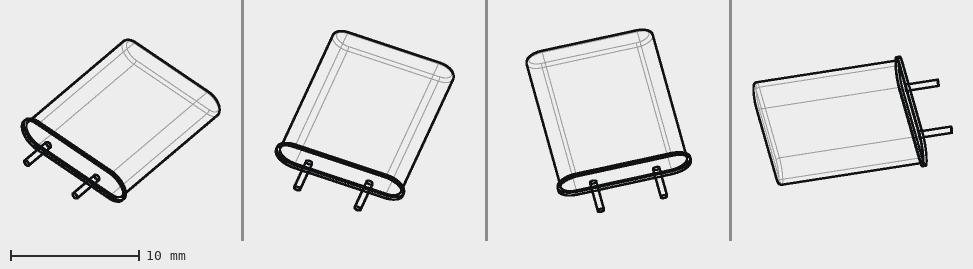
import cadquery as cq

total_length = 14.22
flange_width = 10.66
flange_height = 3.05
flange_thickness = 0.25
flange_overhang = 0.25
pin_length = 2.56
pin_diameter = 0.51
pin_spacing = 5.06
end_fillet = 0.25

can_width = flange_width - 2 * flange_overhang
can_height = flange_height - 2 * flange_overhang
can_length = total_length - pin_length - flange_thickness


def along_y(start):
    """Workplane at the given Y, with X across and Z up; positive extrusion runs toward -Y."""
    return cq.Workplane("XZ", origin=(0, start, 0))


def make_flange():
    """Thin base plate with fully rounded ends, its pin side at Y = 0."""
    return along_y(0).slot2D(flange_width, flange_height).extrude(-flange_thickness)


def make_can():
    """Case with fully rounded sides and a rounded rim at its far end."""
    can = along_y(flange_thickness).slot2D(can_width, can_height).extrude(-can_length)
    return can.faces(">Y").edges().fillet(end_fillet)


def make_pins():
    """Two round leads projecting toward -Y from the flange."""
    centers = [(-pin_spacing / 2, 0), (pin_spacing / 2, 0)]
    return along_y(0).pushPoints(centers).circle(pin_diameter / 2).extrude(pin_length)


result = make_flange().union(make_can()).union(make_pins())